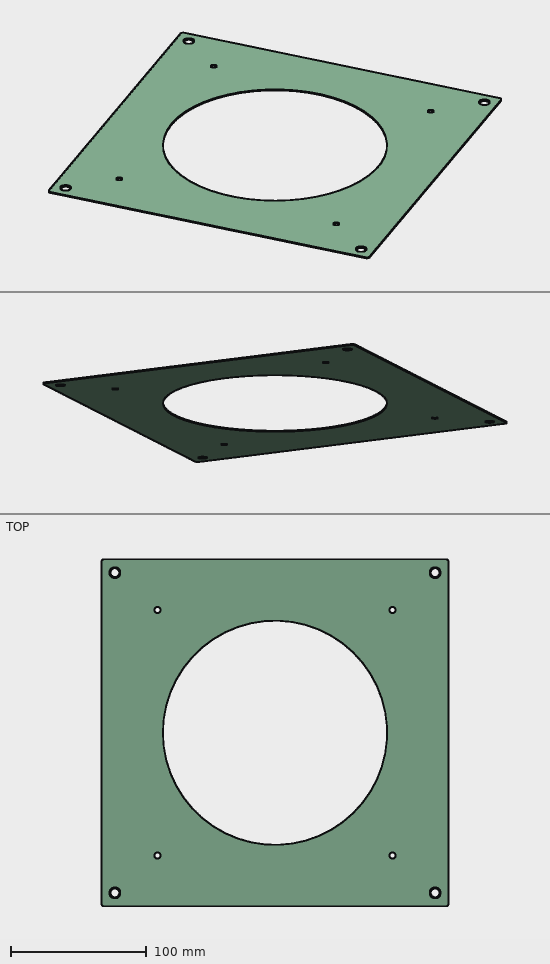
import cadquery as cq

side = 256.0
thickness = 1.0
corner_radius = 2.0

opening_diameter = 165.0

mount_spacing = 236.0
mount_diameter = 6.5
countersink_diameter = 8.2
countersink_angle = 90.0

small_spacing_x = 173.3
small_spacing_y = 181.0
small_diameter = 4.4

plate = cq.Workplane("XY").box(side, side, thickness).edges("|Z").fillet(corner_radius)

plate = plate.faces(">Z").workplane().hole(opening_diameter)

plate = (
    plate.faces(">Z")
    .workplane()
    .rect(mount_spacing, mount_spacing, forConstruction=True)
    .vertices()
    .cskHole(mount_diameter, countersink_diameter, countersink_angle)
)

result = (
    plate.faces(">Z")
    .workplane()
    .rect(small_spacing_x, small_spacing_y, forConstruction=True)
    .vertices()
    .hole(small_diameter)
)